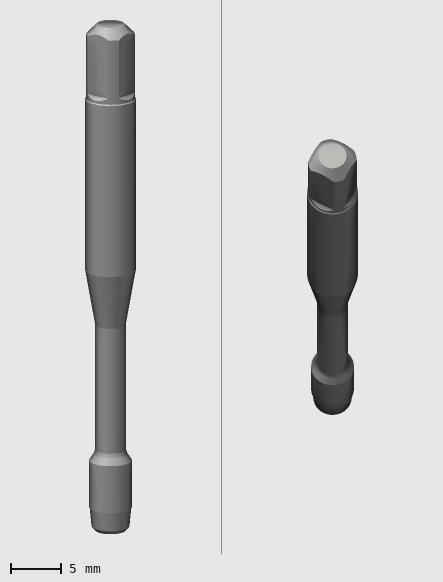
import cadquery as cq

total_length = 52.1

shank_diameter = 5.0
shank_bottom = 26.8
shank_top = 44.4
neck_diameter = 3.0
neck_top = 21.15
collar_diameter = 3.3
collar_length = 0.35

drive_diameter = 4.8
across_flats = 4.05
shoulder_length = 0.1
flat_bottom = 45.1
drive_tip_diameter = 2.75
run_out_depth = (shank_diameter - across_flats) / 2

head_top = 7.9
head_shoulder = 7.2
head_diameter = 4.2
lead_top = 2.35
lead_top_diameter = 4.1
lead_bottom = 0.4
lead_bottom_diameter = 3.75
head_tip_diameter = 3.0


def revolve_profile(stations):
    """Revolve a list of (diameter, height) stations, from bottom to top, about Z."""
    outline = [(diameter / 2, height) for diameter, height in stations]
    bottom = stations[0][1]
    top = stations[-1][1]
    return (
        cq.Workplane("XZ")
        .polyline([(0, bottom), *outline, (0, top)])
        .close()
        .revolve(360, (0, 0), (0, 1))
    )


def make_flat_cutter():
    """Waste beyond the -Y flat, with a 45 degree run-out at its lower end."""
    flat = -across_flats / 2
    outer = flat - run_out_depth
    return (
        cq.Workplane("YZ")
        .polyline([
            (flat, flat_bottom),
            (flat, total_length),
            (outer, total_length),
            (outer, flat_bottom - run_out_depth),
        ])
        .close()
        .extrude(shank_diameter / 2, both=True)
    )


def make_shank():
    """Neck, shank and square drive."""
    tip_chamfer = (drive_diameter - drive_tip_diameter) / 2
    body = revolve_profile([
        (collar_diameter, head_top),
        (neck_diameter, head_top + collar_length),
        (neck_diameter, neck_top),
        (shank_diameter, shank_bottom),
        (shank_diameter, shank_top),
        (drive_diameter, shank_top + shoulder_length),
        (drive_diameter, total_length - tip_chamfer),
        (drive_tip_diameter, total_length),
    ])
    flat_cutter = make_flat_cutter()
    for angle in (0, 90, 180, 270):
        body = body.cut(flat_cutter.rotate((0, 0, 0), (0, 0, 1), angle))
    return body


def make_cutting_head():
    """Cylindrical head with a tapered lead and a chamfered tip."""
    return revolve_profile([
        (head_tip_diameter, 0),
        (lead_bottom_diameter, lead_bottom),
        (lead_top_diameter, lead_top),
        (head_diameter, lead_top),
        (head_diameter, head_shoulder),
        (collar_diameter, head_top),
    ])


shank = make_shank()
cutting_head = make_cutting_head()

result = cq.Compound.makeCompound([shank.val(), cutting_head.val()])